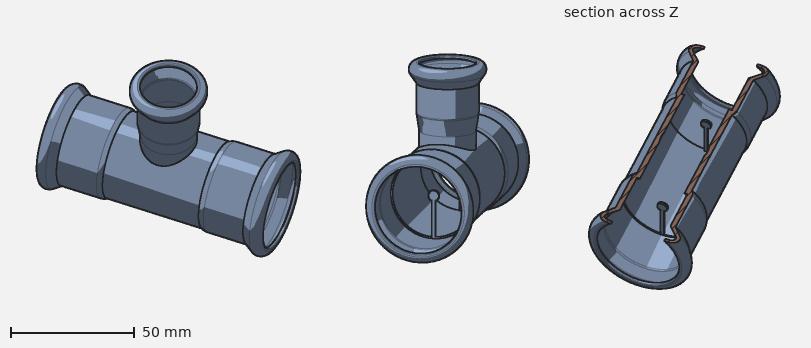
import cadquery as cq
import math

WALL = 1.5

RUN_LENGTH = 99.0
BRANCH_TOP = 50.2

BEAD_RADIUS = 3.05
BEAD_CONE_ANGLE = math.radians(34)
LIP_OVERHANG = 1.15
LIP_ROUND = 0.35

RUN_SOCKET_RADIUS = 19.25
RUN_TUBE_RADIUS = 18.5
RUN_SOCKET_DEPTH = 26.0
RUN_SHOULDER_LENGTH = 2.4

BRANCH_SOCKET_RADIUS = 12.7
BRANCH_TUBE_RADIUS = 11.55
BRANCH_SOCKET_DEPTH = 20.8
BRANCH_ROUND_LENGTH = 0.6
BRANCH_ROUND_DROP = 0.1
BRANCH_TAPER_END = 28.3

MARKER_THICKNESS = 1.0
MARKER_DISC_PART = 1 / 8
MARKER_BAR_PART = 1 / 12
BAR_EMBED = WALL / 2


def bead_points(socket_radius, crest_radius):
    """Crest, crest middle and cone start of the bead as (distance from the mouth, radius)."""
    half_sweep = (math.pi / 2 + BEAD_CONE_ANGLE) / 2

    def on_crest(sweep):
        depth = BEAD_RADIUS - crest_radius * math.cos(sweep)
        return depth, socket_radius + crest_radius * math.sin(sweep)

    return on_crest(0), on_crest(half_sweep), on_crest(2 * half_sweep)


def outer_mouth(socket_radius):
    """Outer half profile of a mouth, open at the end of the bead cone."""
    start, middle, cone_start = bead_points(socket_radius, BEAD_RADIUS)
    cone_end = cone_end_depth(socket_radius)
    return (
        cq.Workplane("XY")
        .moveTo(0, 0)
        .lineTo(*start)
        .threePointArc(middle, cone_start)
        .lineTo(cone_end, socket_radius)
    )


def cone_end_depth(socket_radius):
    """Distance from the mouth at which the bead cone meets the socket."""
    cone_depth, cone_radius = bead_points(socket_radius, BEAD_RADIUS)[2]
    return cone_depth + (cone_radius - socket_radius) / math.tan(BEAD_CONE_ANGLE)


def inner_mouth(socket_radius):
    """Inner half profile of a mouth, one wall inside the outer one, down to the bore."""
    start, middle, cone_start = bead_points(socket_radius, BEAD_RADIUS - WALL)
    lip_radius = socket_radius - LIP_OVERHANG
    cone_end = cone_end_depth(socket_radius)

    def on_bend(angle):
        return cone_end - WALL * math.sin(angle), socket_radius - WALL * math.cos(angle)

    return (
        cq.Workplane("XY")
        .moveTo(0, 0)
        .lineTo(0, lip_radius + LIP_ROUND)
        .radiusArc((LIP_ROUND, lip_radius), -LIP_ROUND)
        .lineTo(WALL - LIP_ROUND, lip_radius)
        .radiusArc((WALL, lip_radius + LIP_ROUND), -LIP_ROUND)
        .lineTo(*start)
        .threePointArc(middle, cone_start)
        .lineTo(*on_bend(BEAD_CONE_ANGLE))
        .threePointArc(on_bend(BEAD_CONE_ANGLE / 2), on_bend(0))
    )


def revolve_closed(profile, end_depth):
    """Close a half profile along the axis and turn it about the axis."""
    return profile.lineTo(end_depth, 0).close().revolve(360, (0, 0, 0), (1, 0, 0))


def run_half_outer():
    """Left half of the run, solid, with its mouth at X = 0."""
    shoulder_end = RUN_SOCKET_DEPTH + RUN_SHOULDER_LENGTH
    profile = (
        outer_mouth(RUN_SOCKET_RADIUS)
        .lineTo(RUN_SOCKET_DEPTH, RUN_SOCKET_RADIUS)
        .tangentArcPoint((shoulder_end, RUN_TUBE_RADIUS), relative=False)
        .lineTo(RUN_LENGTH / 2, RUN_TUBE_RADIUS)
    )
    return revolve_closed(profile, RUN_LENGTH / 2)


def run_half_bore():
    """Hollow of the left half of the run, stepped at the stop."""
    profile = (
        inner_mouth(RUN_SOCKET_RADIUS)
        .lineTo(RUN_SOCKET_DEPTH, RUN_SOCKET_RADIUS - WALL)
        .lineTo(RUN_SOCKET_DEPTH, RUN_TUBE_RADIUS - WALL)
        .lineTo(RUN_LENGTH / 2, RUN_TUBE_RADIUS - WALL)
    )
    return revolve_closed(profile, RUN_LENGTH / 2)


def branch_outer():
    """Solid branch along X, reaching from its mouth to the run axis."""
    taper_start = BRANCH_SOCKET_DEPTH + BRANCH_ROUND_LENGTH
    profile = (
        outer_mouth(BRANCH_SOCKET_RADIUS)
        .lineTo(BRANCH_SOCKET_DEPTH, BRANCH_SOCKET_RADIUS)
        .tangentArcPoint((taper_start, BRANCH_SOCKET_RADIUS - BRANCH_ROUND_DROP), relative=False)
        .lineTo(BRANCH_TAPER_END, BRANCH_TUBE_RADIUS)
        .lineTo(BRANCH_TOP, BRANCH_TUBE_RADIUS)
    )
    return revolve_closed(profile, BRANCH_TOP)


def branch_bore():
    """Hollow of the branch, reaching from its mouth to the run axis."""
    taper_start = BRANCH_SOCKET_DEPTH + BRANCH_ROUND_LENGTH
    profile = (
        inner_mouth(BRANCH_SOCKET_RADIUS)
        .lineTo(taper_start, BRANCH_SOCKET_RADIUS - WALL)
        .lineTo(BRANCH_TAPER_END, BRANCH_TUBE_RADIUS - WALL)
        .lineTo(BRANCH_TOP, BRANCH_TUBE_RADIUS - WALL)
    )
    return revolve_closed(profile, BRANCH_TOP)


def marker(bore_radius, wall_radius, depth):
    """Disc on the socket axis with its bar toward -Z, facing the mouth at the given depth."""
    bar_length = wall_radius + BAR_EMBED
    disc = cq.Workplane("YZ", origin=(depth, 0, 0)).circle(bore_radius * MARKER_DISC_PART)
    bar = (
        cq.Workplane("YZ", origin=(depth, 0, 0))
        .center(0, -bar_length / 2)
        .rect(bore_radius * MARKER_BAR_PART, bar_length)
    )
    return disc.extrude(MARKER_THICKNESS).union(bar.extrude(MARKER_THICKNESS))


def on_run(half):
    """Place a shape built from its mouth at the left end, with its mirror at the right end."""
    left = half.translate((-RUN_LENGTH / 2, 0, 0))
    return left.union(left.mirror("YZ"))


def on_branch(shape):
    """Turn a shape built from its mouth to hang down from the branch mouth; -Z becomes +X."""
    turned = shape.rotate((0, 0, 0), (0, 1, 0), 90)
    return turned.rotate((0, 0, 0), (0, 0, 1), 180).translate((0, 0, BRANCH_TOP))


body = on_run(run_half_outer()).union(on_branch(branch_outer()))
body = body.cut(on_run(run_half_bore())).cut(on_branch(branch_bore()))

run_marker = marker(RUN_SOCKET_RADIUS - WALL, RUN_TUBE_RADIUS - WALL, RUN_SOCKET_DEPTH)
branch_bore_radius = BRANCH_SOCKET_RADIUS - WALL
branch_marker = marker(
    branch_bore_radius, branch_bore_radius, BRANCH_SOCKET_DEPTH - MARKER_THICKNESS
)

result = body.union(on_run(run_marker)).union(on_branch(branch_marker))